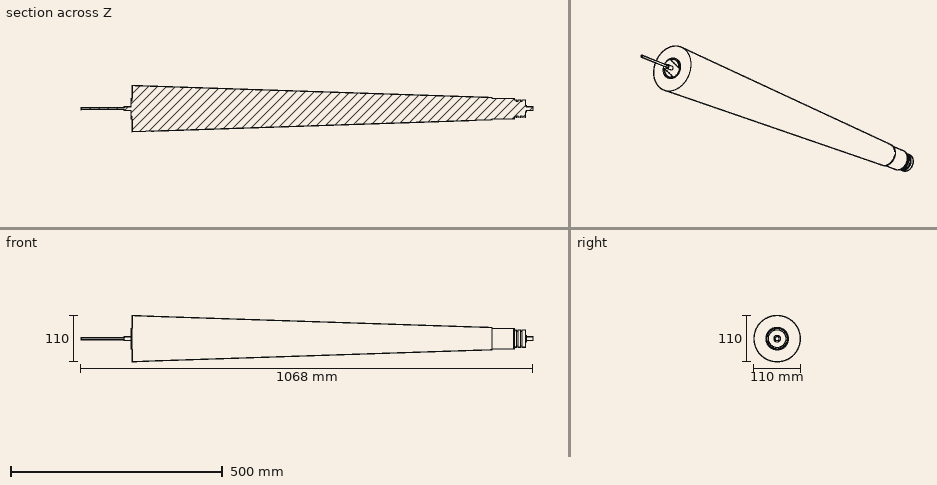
import cadquery as cq

total_length = 1068.0
rod_length = 101.0
collar_length = 16.0
cover_thickness = 3.0
sleeve_length = 900.0
tail_length = 50.0
end_cap_thickness = 3.0
plug_length = 26.0
boss_length = 2.0

rod_diameter = 5.0
shaft_diameter = 10.0
cover_diameter = 49.0
sleeve_large_diameter = 110.0
sleeve_small_diameter = 53.0
tail_diameter = 49.0
end_cap_diameter = 48.0
plug_diameter = 42.0
boss_diameter = 16.0

bar_width = 26.0
bar_tilt = 45.0
rim_width = 3.0
recess_depth = 2.0

groove_count = 2
groove_width = 3.0
groove_depth = 3.0
groove_spacing = 10.0
first_groove_offset = 4.0

collar_start = rod_length
cover_start = collar_start + collar_length
sleeve_start = cover_start + cover_thickness
sleeve_end = sleeve_start + sleeve_length
tail_start = sleeve_end - tail_length
plug_start = sleeve_end + end_cap_thickness
plug_end = plug_start + plug_length
boss_end = plug_end + boss_length


def roller_outline():
    """Half outline of the whole roller as (X, radius) points."""
    steps = [
        (0, collar_start, rod_diameter, rod_diameter),
        (collar_start, cover_start, shaft_diameter, shaft_diameter),
        (cover_start, sleeve_start, cover_diameter, cover_diameter),
        (sleeve_start, tail_start, sleeve_large_diameter, sleeve_small_diameter),
        (tail_start, sleeve_end, tail_diameter, tail_diameter),
        (sleeve_end, plug_start, end_cap_diameter, end_cap_diameter),
        (plug_start, plug_end, plug_diameter, plug_diameter),
        (plug_end, boss_end, boss_diameter, boss_diameter),
        (boss_end, total_length, shaft_diameter, shaft_diameter),
    ]
    points = [(0, 0)]
    for start, end, start_diameter, end_diameter in steps:
        points.append((start, start_diameter / 2))
        points.append((end, end_diameter / 2))
    points.append((total_length, 0))
    return points


def make_roller():
    """Solid of revolution about X."""
    profile = cq.Workplane("XY").polyline(roller_outline()).close()
    return profile.revolve(360, (0, 0, 0), (1, 0, 0))


def make_cover_recesses():
    """Two shallow pockets inside the cover rim, one on each side of the bar."""
    disc = (
        cq.Workplane("YZ", origin=(cover_start, 0, 0))
        .circle(cover_diameter / 2 - rim_width)
        .extrude(recess_depth)
    )
    bar = (
        cq.Workplane("YZ", origin=(cover_start, 0, 0))
        .transformed(rotate=(0, 0, bar_tilt))
        .rect(cover_diameter, bar_width)
        .extrude(recess_depth)
    )
    return disc.cut(bar)


def make_plug_groove(start):
    """Ring removed from the plug, beginning at the given X station."""
    return (
        cq.Workplane("YZ", origin=(start, 0, 0))
        .circle(plug_diameter / 2)
        .circle(plug_diameter / 2 - groove_depth)
        .extrude(groove_width)
    )


result = make_roller().cut(make_cover_recesses())
for index in range(groove_count):
    groove_start = plug_start + first_groove_offset + index * groove_spacing
    result = result.cut(make_plug_groove(groove_start))